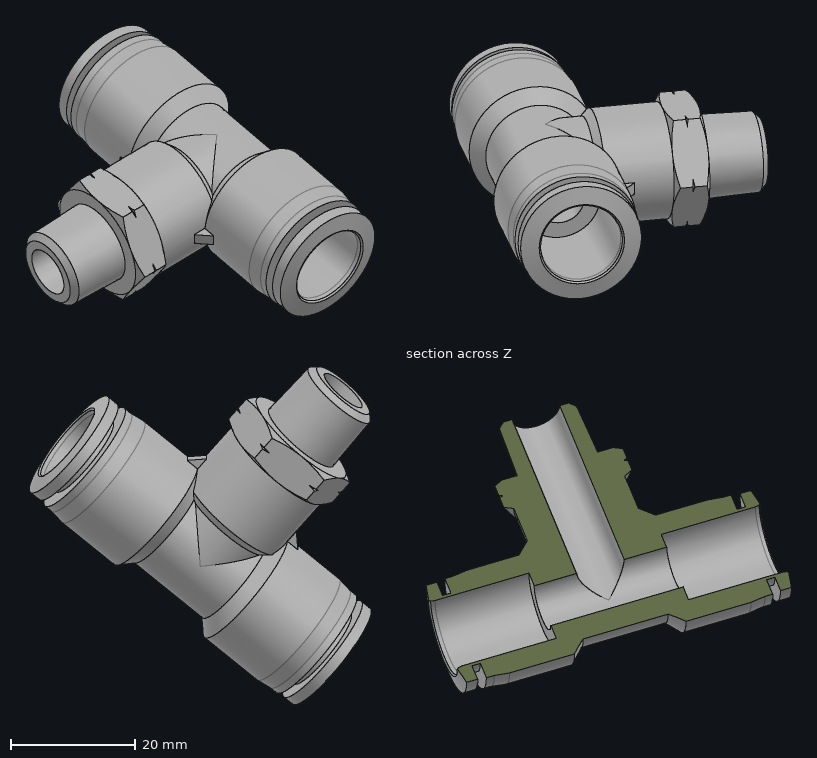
import cadquery as cq
import math

half_length = 28.25
collar_radius = 9.95
collar_rim_x = 27.7
collar_back_x = 25.75
neck_radius = 7.25
lip_x = 24.4
lip_radius = 10.15
lip_inner_x = 23.05
bell_outer_x = 20.55
bell_radius = 10.5
bell_inner_x = 9.5
pipe_radius = 8.25
pipe_end_x = 7.25

bore_radius = 4.0
socket_radius = 6.6
socket_mouth_radius = 7.0
socket_lead_in_radius = 6.7
socket_lead_in_length = 0.7
socket_floor_x = 11.3

branch_radius = 9.5
branch_shoulder_y = 7.95
nut_top_y = 19.15
nut_bottom_y = 25.05
stem_end_y = 35.5
stem_chamfer = 1.0
stem_root_radius = 6.9
stem_tip_radius = 6.6

nut_corner_radius = branch_radius / math.cos(math.pi / 6)
nut_chamfer_height = 0.75
nut_groove_radius = 10.4
nut_groove_half_width = 0.15

web_width = 2.0
web_leg = 2.15


def revolve_about_x(points):
    """Revolve an (x, radius) outline about the run axis."""
    return cq.Workplane("XY").polyline(points).close().revolve(360, (0, 0, 0), (1, 0, 0))


def revolve_about_branch(points):
    """Revolve a (radius, distance along -Y) outline about the branch axis."""
    outline = [(radius, -distance) for radius, distance in points]
    return cq.Workplane("XY").polyline(outline).close().revolve(360, (0, 0, 0), (0, 1, 0))


def make_run_half():
    return revolve_about_x([
        (0, 0),
        (0, pipe_radius),
        (pipe_end_x, pipe_radius),
        (bell_inner_x, bell_radius),
        (bell_outer_x, bell_radius),
        (lip_inner_x, lip_radius),
        (lip_x, lip_radius),
        (lip_x, neck_radius),
        (collar_back_x, neck_radius),
        (collar_back_x, collar_radius),
        (collar_rim_x, collar_radius),
        (half_length, socket_mouth_radius),
        (half_length, 0),
    ])


def make_socket_bore():
    lead_in_x = half_length - (socket_mouth_radius - socket_lead_in_radius)
    return revolve_about_x([
        (0, 0),
        (0, bore_radius),
        (socket_floor_x, bore_radius),
        (socket_floor_x, socket_radius),
        (lead_in_x - socket_lead_in_length, socket_radius),
        (lead_in_x, socket_lead_in_radius),
        (half_length, socket_mouth_radius),
        (half_length, 0),
    ])


def make_branch():
    shoulder_drop = branch_radius - pipe_radius
    return revolve_about_branch([
        (0, 0),
        (pipe_radius, 0),
        (pipe_radius, branch_shoulder_y - shoulder_drop),
        (branch_radius, branch_shoulder_y),
        (branch_radius, nut_bottom_y),
        (stem_root_radius, nut_bottom_y),
        (stem_tip_radius, stem_end_y - stem_chamfer),
        (stem_tip_radius - stem_chamfer, stem_end_y),
        (0, stem_end_y),
    ])


def make_nut():
    nut_middle_y = (nut_top_y + nut_bottom_y) / 2
    groove_top_y = nut_middle_y - nut_groove_half_width
    groove_bottom_y = nut_middle_y + nut_groove_half_width
    hexagon = (
        cq.Workplane("XZ", origin=(0, -nut_top_y, 0))
        .polygon(6, 2 * nut_corner_radius)
        .extrude(nut_bottom_y - nut_top_y)
    )
    turned_envelope = revolve_about_branch([
        (0, nut_top_y),
        (branch_radius, nut_top_y),
        (nut_corner_radius, nut_top_y + nut_chamfer_height),
        (nut_corner_radius, groove_top_y),
        (nut_groove_radius, nut_middle_y),
        (nut_corner_radius, groove_bottom_y),
        (nut_corner_radius, nut_bottom_y - nut_chamfer_height),
        (branch_radius, nut_bottom_y),
        (0, nut_bottom_y),
    ])
    return hexagon.intersect(turned_envelope)


def make_webs():
    """Both webs as one trapezoid plate whose middle lies inside the branch."""
    top_half_width = branch_radius + web_leg
    return (
        cq.Workplane("XY")
        .polyline([
            (-top_half_width, -branch_shoulder_y),
            (-top_half_width, -bell_radius),
            (-branch_radius, -bell_radius - web_leg),
            (branch_radius, -bell_radius - web_leg),
            (top_half_width, -bell_radius),
            (top_half_width, -branch_shoulder_y),
        ])
        .close()
        .extrude(web_width / 2, both=True)
    )


run_half = make_run_half()
body = run_half.union(run_half.mirror("YZ"))
body = body.union(make_branch()).union(make_nut()).union(make_webs())

socket_bore = make_socket_bore()
branch_bore = cq.Workplane("XZ").circle(bore_radius).extrude(stem_end_y)
result = body.cut(socket_bore).cut(socket_bore.mirror("YZ")).cut(branch_bore)